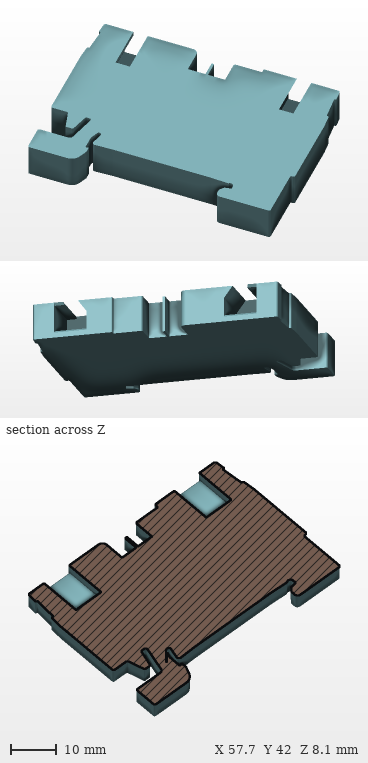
import cadquery as cq
import math

length = 57.7
height = 42.04
thickness = 8.1

edge_radius = 0.45
tip_radius = 0.25
slot_foot_radius = 0.9
relief_foot_radius = 0.65
hook_nose_radius = 0.9
foot_toe_radius = 2.45
notch_radius = 1.3

top_inset = 0.75
top_corner_inset = 0.95
nick_inset = 1.2
nick_height = 39.2
step_inset_upper = 0.75
step_inset_lower = 0.25
step_height = 33.75
taper_end_height = 30.55

notch_left = 23.25
notch_right = 32.05
notch_floor = 35.8
low_top_end = 38.65
low_top_height = 41.05
fin_left = 27.4
fin_width = 0.6
fin_right = fin_left + fin_width
fin_top = 39.4

slot_lean = math.tan(math.radians(15))
shoulder_height = 13.35
tooth_left = 4.1
tooth_tip_left = 5.3
tooth_tip_right = 7.05
tooth_tip_height = 8.95
spring_slot_left = 8.3
spring_slot_right = 9.75

foot_top = 6.05
foot_toe_corner = 11.05
foot_toe_right = 12.5
foot_toe_height = 3.4
foot_toe_top = 4.85
spring_slot_foot = spring_slot_right - slot_lean * (shoulder_height - foot_top)

rail_seat_edge = foot_top
rail_seat = 6.25
rail_seat_start = 17.5
rail_seat_end = 40.7

relief_floor = 4.65
relief_left = 11.75
relief_bend_height = 7.9
relief_top_left = 12.6
relief_top_right = 13.6
relief_top = 10.0
relief_right_foot = relief_top_right - slot_lean * (relief_top - rail_seat_edge)

hook_mouth_right = 46.3
hook_mouth_floor = 4.8
hook_relief_start = 45.05
hook_relief_crown = (45.9, 6.22)
hook_relief_end = 5.7
hook_nose_top = 4.5
hook_nose_start = 44.7
hook_nose_left = 43.85
hook_nose_height = 3.4
hook_bottom = 1.5
hook_right = 56.75

pocket_outer = 7.8
pocket_inner = 11.2
pocket_bottom = 31.7
pocket_depth = 6.5
outer_lip_thickness = 0.6
outer_lip_slope = 0.2
outer_undercut = 2.05
inner_undercut = 1.95
inner_taper_depth = 2.6
end_bevel = 0.45


def mirrored(x):
    """Position as far from the right end as x is from the left end."""
    return length - x


def housing():
    """Plate with the full outline, its lower left corner at the origin."""
    outline = (
        cq.Workplane("XY")
        .moveTo(0, 0)
        .lineTo(0, foot_top)
        .lineTo(spring_slot_foot, foot_top)
        .lineTo(spring_slot_right, shoulder_height)
        .lineTo(spring_slot_left, shoulder_height)
        .lineTo(tooth_tip_right, tooth_tip_height)
        .lineTo(tooth_tip_left, tooth_tip_height)
        .lineTo(tooth_left, shoulder_height)
        .lineTo(0, shoulder_height)
        .lineTo(0, taper_end_height)
        .lineTo(step_inset_lower, step_height)
        .lineTo(step_inset_upper, step_height)
        .lineTo(nick_inset, nick_height)
        .lineTo(top_inset, nick_height)
        .lineTo(top_corner_inset, height)
        .lineTo(notch_left, height)
        .lineTo(notch_left, notch_floor)
        .lineTo(fin_left, notch_floor)
        .lineTo(fin_left, fin_top)
        .lineTo(fin_right, fin_top)
        .lineTo(fin_right, notch_floor)
        .lineTo(notch_right, notch_floor)
        .lineTo(notch_right, low_top_height)
        .lineTo(low_top_end, low_top_height)
        .lineTo(low_top_end, height)
        .lineTo(mirrored(top_corner_inset), height)
        .lineTo(mirrored(top_inset), nick_height)
        .lineTo(mirrored(nick_inset), nick_height)
        .lineTo(mirrored(step_inset_upper), step_height)
        .lineTo(mirrored(step_inset_lower), step_height)
        .lineTo(length, taper_end_height)
        .lineTo(length, shoulder_height)
        .lineTo(hook_right, shoulder_height)
        .lineTo(hook_right, hook_bottom)
        .lineTo(hook_nose_left, hook_bottom)
        .lineTo(hook_nose_left, hook_nose_height)
        .lineTo(hook_nose_start, hook_nose_top)
        .lineTo(hook_mouth_right, hook_mouth_floor)
        .lineTo(hook_mouth_right, hook_relief_end)
        .threePointArc(hook_relief_crown, (hook_relief_start, rail_seat_edge))
        .lineTo(rail_seat_end, rail_seat)
        .lineTo(rail_seat_start, rail_seat)
        .lineTo(relief_right_foot, rail_seat_edge)
        .lineTo(relief_top_right, relief_top)
        .lineTo(relief_top_left, relief_top)
        .lineTo(relief_left, relief_bend_height)
        .lineTo(relief_left, relief_floor)
        .lineTo(foot_toe_right, foot_toe_top)
        .lineTo(foot_toe_right, foot_toe_height)
        .lineTo(foot_toe_corner, 0)
        .close()
    )
    return outline.extrude(thickness)


def round_corners(body, corners, radius):
    """Round the upright edges of the plate that stand on the given outline corners."""
    for x, y in corners:
        edge = cq.selectors.NearestToPointSelector((x, y, thickness / 2))
        body = body.edges("|Z").edges(edge).fillet(radius)
    return body


def rounded_housing():
    """Housing plate with its outline corners rounded."""
    ordinary_corners = [
        (0, 0),
        (0, shoulder_height),
        (length, shoulder_height),
        (hook_right, hook_bottom),
        (tooth_left, shoulder_height),
        (notch_right, low_top_height),
        (spring_slot_left, shoulder_height),
        (spring_slot_right, shoulder_height),
        (0, foot_top),
        (top_corner_inset, height),
        (mirrored(top_corner_inset), height),
    ]
    tight_corners = [
        (tooth_tip_left, tooth_tip_height),
        (tooth_tip_right, tooth_tip_height),
        (hook_right, shoulder_height),
        (top_inset, nick_height),
        (mirrored(top_inset), nick_height),
        (low_top_end, height),
        (step_inset_lower, step_height),
        (mirrored(step_inset_lower), step_height),
    ]
    relief_end_corners = [
        (relief_top_left, relief_top),
        (relief_top_right, relief_top),
    ]
    body = round_corners(housing(), ordinary_corners, edge_radius)
    body = round_corners(body, tight_corners, tip_radius)
    body = round_corners(body, relief_end_corners, edge_radius)
    body = round_corners(body, [(spring_slot_foot, foot_top)], slot_foot_radius)
    body = round_corners(body, [(relief_right_foot, rail_seat_edge)], relief_foot_radius)
    body = round_corners(body, [(hook_nose_left, hook_bottom)], hook_nose_radius)
    body = round_corners(body, [(foot_toe_corner, 0)], foot_toe_radius)
    return round_corners(body, [(notch_left, height)], notch_radius)


def marker_pocket():
    """Cutter for the left pocket: an undercut channel along Y, beveled at its open end."""
    floor = thickness - pocket_depth
    lip_bottom = thickness - outer_lip_thickness
    outer_wall = pocket_outer - outer_undercut
    inner_wall = pocket_inner + inner_undercut
    profile = [
        (pocket_outer, thickness),
        (pocket_outer + outer_lip_slope, lip_bottom),
        (outer_wall, lip_bottom),
        (outer_wall, floor),
        (inner_wall, floor),
        (inner_wall, thickness - inner_taper_depth),
        (pocket_inner, thickness),
    ]
    channel = (
        cq.Workplane("XZ", origin=(0, height, 0))
        .polyline(profile)
        .close()
        .extrude(height - pocket_bottom)
    )
    lip_bevel = (
        cq.Workplane("YZ", origin=(outer_wall, 0, 0))
        .moveTo(height, thickness)
        .lineTo(height - end_bevel, lip_bottom)
        .lineTo(height, lip_bottom)
        .close()
        .extrude(outer_undercut + outer_lip_slope)
    )
    floor_bevel = (
        cq.Workplane("YZ", origin=(outer_wall, 0, 0))
        .moveTo(height, floor)
        .lineTo(height - end_bevel, floor)
        .lineTo(height, floor - end_bevel)
        .close()
        .extrude(inner_wall - outer_wall)
    )
    return channel.union(floor_bevel).union(lip_bevel)


left_pocket = marker_pocket()
right_pocket = left_pocket.mirror("YZ").translate((length, 0, 0))

result = (
    rounded_housing()
    .cut(left_pocket)
    .cut(right_pocket)
    .translate((-length / 2, -height / 2, -thickness / 2))
)